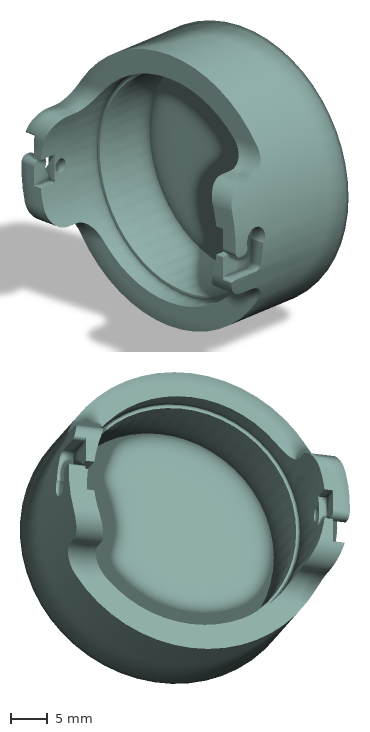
import cadquery as cq
import math

outer_radius = 20.0
cup_depth = 16.0
back_fillet = 3.0
bore_radius = 16.5
inner_bore_radius = 16.0
ledge_depth = 3.2
floor_thickness = 3.0

ear_length = 8.0
ear_half_width = 8.15
ear_root_radius = 3.2
ear_tip_radius = 3.2

pocket_floor_x = 17.6
pivot_drop = 4.0
pivot_hole_radius = 1.0
pivot_pocket_radius = 1.75
pocket_start_drop = 2.55
pocket_top = 5.15
pocket_corner_radius = 0.75
mouth_radius = 0.5
tongue_top = 1.7
tongue_inner_radius = 0.9
tongue_tip_radius = 0.95

notch_drop = 5.2
notch_half_width = 2.1

DIAGONAL = math.sqrt(0.5)


def cylinder(radius, y_start, y_end):
    return cq.Workplane("XZ", origin=(0, y_end, 0)).circle(radius).extrude(y_end - y_start)


def side_sketch(x):
    """Sketch plane facing -X: local x is the drop from the rim (-Y), local y is Z."""
    return cq.Workplane(cq.Plane(origin=(x, 0, 0), xDir=(0, -1, 0), normal=(-1, 0, 0)))


def ear_profile():
    """Outline of an ear, flared at the root and rounded at the tip."""
    root = ear_root_radius
    tip = ear_tip_radius
    root_bend = root * (1 - DIAGONAL)
    tip_bend = tip * (1 - DIAGONAL)
    w = ear_half_width
    end = ear_length
    return (
        side_sketch(0)
        .moveTo(0, w + root)
        .threePointArc((root_bend, w + root_bend), (root, w))
        .lineTo(end - tip, w)
        .threePointArc((end - tip_bend, w - tip_bend), (end, w - tip))
        .lineTo(end, tip - w)
        .threePointArc((end - tip_bend, tip_bend - w), (end - tip, -w))
        .lineTo(root, -w)
        .threePointArc((root_bend, -w - root_bend), (0, -w - root))
        .close()
    )


def make_body():
    cup = cylinder(outer_radius, 0, cup_depth).faces(">Y").edges().fillet(back_fillet)
    ears = ear_profile().extrude(outer_radius, both=True)
    ears = ears.intersect(cylinder(outer_radius, -ear_length, 0))
    floor_y = cup_depth - floor_thickness
    body = cup.union(ears)
    body = body.cut(cylinder(bore_radius, -ear_length, ledge_depth))
    return body.cut(cylinder(inner_bore_radius, -ear_length, floor_y))


def latch_pocket():
    """Round pivot seat opening into a channel that leaves through the ear tip."""
    round_z = tongue_top - tongue_inner_radius
    center_distance = pivot_pocket_radius + tongue_inner_radius
    round_offset = math.sqrt(center_distance**2 - round_z**2)
    round_drop = pivot_drop + round_offset
    seat_share = pivot_pocket_radius / center_distance
    tangent = (pivot_drop + seat_share * round_offset, seat_share * round_z)
    middle_angle = (math.pi / 2 + math.atan2(-round_z, -round_offset) % (2 * math.pi)) / 2
    round_middle = (
        round_drop + tongue_inner_radius * math.cos(middle_angle),
        round_z + tongue_inner_radius * math.sin(middle_angle),
    )
    corner_bend = pocket_corner_radius * (1 - DIAGONAL)
    tip_bend = tongue_tip_radius * (1 - DIAGONAL)
    mouth_bend = mouth_radius * (1 - DIAGONAL)
    end = ear_length
    channel = (
        side_sketch(-pocket_floor_x)
        .moveTo(pocket_start_drop, 0)
        .lineTo(pocket_start_drop, pocket_top - pocket_corner_radius)
        .threePointArc(
            (pocket_start_drop + corner_bend, pocket_top - corner_bend),
            (pocket_start_drop + pocket_corner_radius, pocket_top),
        )
        .lineTo(end - mouth_radius, pocket_top)
        .threePointArc((end - mouth_bend, pocket_top + mouth_bend), (end, pocket_top + mouth_radius))
        .lineTo(end, tongue_top - tongue_tip_radius)
        .threePointArc((end - tip_bend, tongue_top - tip_bend), (end - tongue_tip_radius, tongue_top))
        .lineTo(round_drop, tongue_top)
        .threePointArc(round_middle, tangent)
        .lineTo(pivot_drop, 0)
        .close()
        .extrude(outer_radius - pocket_floor_x)
    )
    seat = (
        side_sketch(-pocket_floor_x)
        .center(pivot_drop, 0)
        .circle(pivot_pocket_radius)
        .extrude(outer_radius - pocket_floor_x)
    )
    return channel.union(seat)


def wall_notch():
    return (
        side_sketch(0)
        .moveTo(notch_drop, -notch_half_width)
        .lineTo(ear_length, -notch_half_width)
        .lineTo(ear_length, notch_half_width)
        .lineTo(notch_drop, notch_half_width)
        .close()
        .extrude(pocket_floor_x)
    )


def pivot_hole():
    return side_sketch(0).center(pivot_drop, 0).circle(pivot_hole_radius).extrude(outer_radius)


result = make_body()
latch_cut = latch_pocket().union(wall_notch()).union(pivot_hole())
for turn in (0, 180):
    result = result.cut(latch_cut.rotate((0, 0, 0), (0, 1, 0), turn))